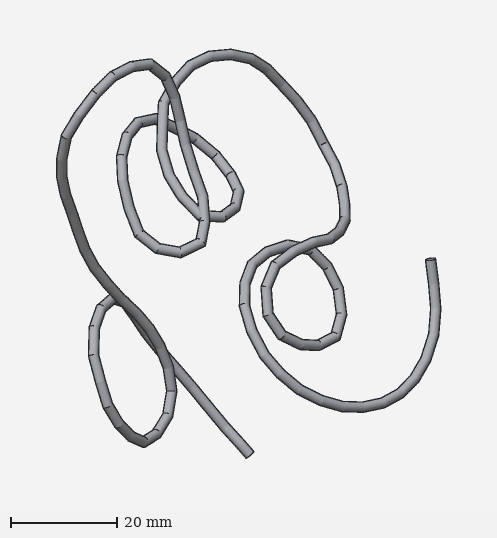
import cadquery as cq

ROD_DIAMETER = 2.0


LOWER_LOOP = [
    (26.3, 35.5, 0.8), (24.7, 34.5, 2.5), (21.5, 32.8, 5.3), (18.7, 30.8, 8.9),
    (15.9, 28.8, 12.7), (13.85, 26.6, 16.3), (11.9, 24.2, 20.2), (10.9, 21.8, 24.5),
    (10.7, 19.5, 28.9), (11.15, 17.0, 33.3), (13.1, 13.2, 36.6), (15.65, 9.2, 37.1),
    (18.5, 6.0, 35.5), (22.1, 3.8, 32.2), (25.2, 3.5, 28.1), (27.4, 3.8, 23.9),
    (28.5, 5.6, 19.7), (28.4, 8.4, 15.7), (27.4, 11.6, 12.8), (25.2, 15.7, 11.9),
    (22.6, 19.7, 13.1), (19.8, 22.2, 16.3), (18.25, 22.3, 20.9), (17.2, 21.1, 25.4),
    (16.55, 19.2, 29.6),
]

STEM = [
    (15.8, 16.8, 33.5), (15.3, 13.8, 37.6), (15.0, 11.0, 41.8), (14.5, 8.45, 46.1),
    (14.1, 6.6, 50.6), (14.0, 5.1, 55.3), (14.1, 3.7, 60.25), (14.4, 2.2, 64.9),
    (14.7, 1.2, 69.6), (15.4, 0.8, 74.5),
]

CROWN = [
    (16.1, 1.35, 79.7), (16.4, 4.0, 83.7), (16.0, 7.7, 87.1), (15.0, 12.1, 89.0),
    (14.0, 16.8, 89.0), (13.1, 21.3, 87.5), (13.0, 24.7, 83.45), (13.85, 26.3, 78.8),
]

FRONT_COIL = [
    (15.2, 26.7, 74.0), (17.35, 26.6, 69.8), (20.4, 26.6, 65.5), (23.8, 26.6, 61.6),
    (27.0, 25.2, 58.2), (29.85, 22.7, 56.1), (29.9, 18.1, 55.5), (28.2, 14.2, 56.7),
    (25.3, 11.9, 59.2), (21.85, 11.7, 63.0), (18.7, 12.1, 67.3), (15.65, 13.7, 70.4),
    (12.1, 16.9, 71.9), (9.0, 21.1, 71.7),
]

MIDDLE_COIL = [
    (7.55, 25.8, 70.05), (7.8, 29.8, 66.8), (9.0, 33.5, 63.75), (11.8, 36.4, 60.5),
    (15.8, 37.4, 58.1), (20.3, 36.5, 57.3), (23.7, 33.7, 56.65), (26.0, 29.6, 57.3),
    (25.5, 25.2, 58.8), (21.7, 23.4, 61.5), (17.7, 22.8, 64.2), (14.0, 23.4, 67.5),
    (10.9, 25.4, 70.4),
]

WIDE_SWEEP = [
    (7.7, 27.4, 73.1), (5.1, 31.65, 75.1), (2.8, 36.2, 75.8), (1.6, 41.1, 75.5),
    (1.3, 45.9, 74.1), (1.2, 50.4, 71.5), (1.1, 53.8, 68.0), (1.6, 56.65, 63.8),
    (3.1, 59.3, 59.9), (4.9, 61.4, 55.7), (7.5, 62.5, 51.5), (11.15, 62.85, 48.65),
    (15.2, 62.0, 46.4), (19.4, 60.2, 45.5), (23.6, 57.8, 45.2), (27.3, 54.4, 46.1),
    (30.0, 50.7, 47.3), (31.3, 46.4, 48.7), (32.55, 41.45, 49.2), (33.9, 36.6, 48.5),
]

SMALL_RING = [
    (36.15, 33.3, 45.9), (39.0, 32.0, 41.8), (41.4, 33.6, 37.95), (42.0, 37.5, 34.8),
    (41.4, 41.5, 32.8), (40.1, 46.1, 32.55), (37.2, 49.1, 34.8), (34.0, 50.3, 38.4),
    (31.4, 49.4, 42.3), (29.7, 46.8, 45.95), (29.3, 42.0, 48.5), (30.2, 37.05, 49.2),
    (32.3, 32.5, 49.1),
]

OUTER_ARC = [
    (35.8, 28.9, 48.1), (39.7, 26.4, 46.2), (43.7, 25.7, 43.1), (47.4, 26.35, 39.5),
    (50.3, 28.1, 36.3), (52.5, 31.0, 33.0), (54.3, 34.7, 30.3), (55.0, 38.9, 27.9),
    (55.1, 43.3, 26.3), (54.7, 47.9, 25.4), (53.1, 52.6, 25.0), (51.4, 56.7, 25.9),
    (49.2, 60.5, 27.7), (46.6, 63.75, 30.7), (44.0, 65.7, 34.35), (41.6, 66.6, 38.4),
    (39.8, 67.0, 42.8),
]

CENTRE_LINE = (
    LOWER_LOOP + STEM + CROWN + FRONT_COIL
    + MIDDLE_COIL + WIDE_SWEEP + SMALL_RING + OUTER_ARC
)


def mitred_rod(joints, diameter):
    """Sweep a round section along straight lengths, with a sharp mitre at every joint."""
    points = [cq.Vector(*joint) for joint in joints]
    path = cq.Workplane(obj=cq.Wire.makePolygon(points))
    start_plane = cq.Plane(origin=points[0], normal=points[1] - points[0])
    section = cq.Workplane(start_plane).circle(diameter / 2)
    return section.sweep(path, transition="right")


result = mitred_rod(CENTRE_LINE, ROD_DIAMETER)